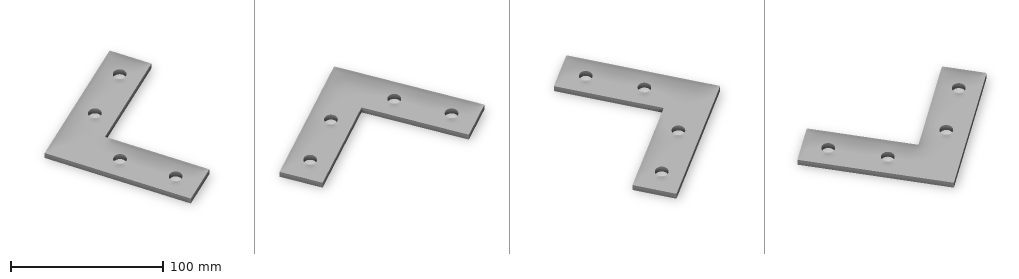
import cadquery as cq

leg_length = 105.0
leg_width = 30.0
thickness = 4.5
hole_diameter = 9.0
hole_end_distance = 17.5
hole_spacing = 40.0

outer_hole = leg_length - hole_end_distance
inner_hole = outer_hole - hole_spacing
leg_centre = leg_width / 2


def corner_plate():
    """L-shaped plate with its outer corner at the origin."""
    return (
        cq.Workplane("XY")
        .polyline([
            (0, 0),
            (leg_length, 0),
            (leg_length, leg_width),
            (leg_width, leg_width),
            (leg_width, leg_length),
            (0, leg_length),
        ])
        .close()
        .extrude(thickness)
    )


def screw_holes():
    """Through-hole cutters: two on the centreline of each leg."""
    centres = []
    for distance in (inner_hole, outer_hole):
        centres.append((distance, leg_centre))
        centres.append((leg_centre, distance))
    return cq.Workplane("XY").pushPoints(centres).circle(hole_diameter / 2).extrude(thickness)


result = corner_plate().cut(screw_holes())